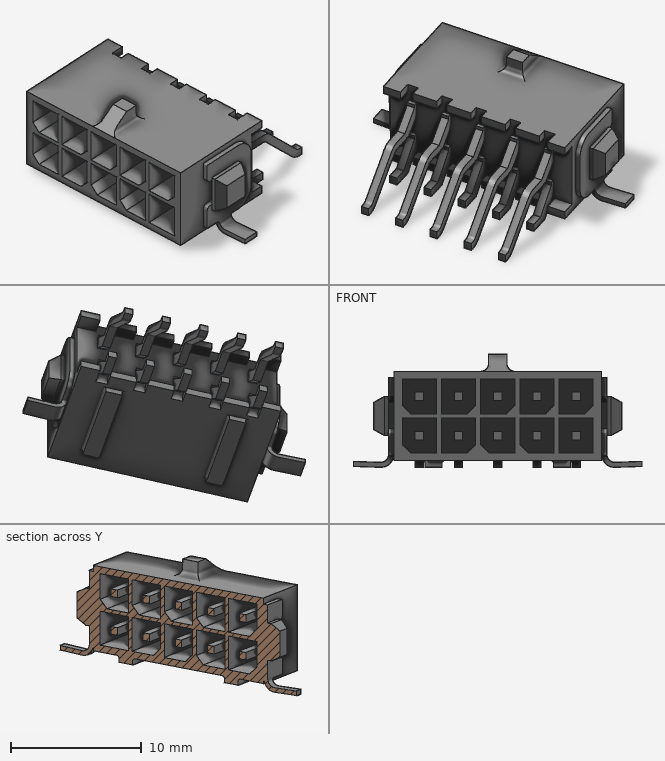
import cadquery as cq
import math


PITCH = 3.0
COLUMNS = 5

BODY_WIDTH = 15.92
BODY_BOTTOM = 0.52
BODY_HEIGHT = 6.84
BODY_TOP = BODY_BOTTOM + BODY_HEIGHT
BODY_MIDDLE = BODY_BOTTOM + BODY_HEIGHT / 2
BODY_DEPTH = 8.12
LIP_THICKNESS = 0.67
END_LIP_Y = 9.26
MIDDLE_LIP_Y = 8.92
NOTCH_WIDTH = 0.91

CAVITY_WIDTH = 2.61
CAVITY_HEIGHT = 2.66
CAVITY_DEPTH = 7.0
KEY_CHAMFER = 0.65
LEFT, RIGHT, SQUARE = -1, 1, 0
UPPER_KEYS = [LEFT, RIGHT, RIGHT, RIGHT, RIGHT]
LOWER_KEYS = [LEFT, RIGHT, LEFT, LEFT, SQUARE]
UPPER_Z = BODY_MIDDLE + PITCH / 2
LOWER_Z = BODY_MIDDLE - PITCH / 2

LATCH_WIDTH = 1.42
LATCH_TOP = 8.67
LATCH_BACK_Y = 2.93
LATCH_RAMP_Y = 1.85
LATCH_FILLET = 0.6

RAIL_WIDTH = 1.31
RAIL_X = 4.92
RAIL_FRONT_Y = 1.39
RAIL_BACK_Y = 7.81
RAIL_FILLET = 0.2

PIN_SIZE = 0.64
PIN_TIP_Y = 2.0
SHOULDER_RISE = 0.45
SHOULDER_Y = 8.45
SHOULDER_STEP = 0.28
TAIL_THICKNESS = 0.66
TAIL_END_Y = 15.63
BEND_INNER_RADIUS = 0.58
BEND_OUTER_RADIUS = BEND_INNER_RADIUS + TAIL_THICKNESS
KNEE_Y = 11.19
LEVEL_BOTTOM = 3.45
UPPER_BEND_Y = 9.36
LOWER_HEEL_Y = 9.48
LOWER_FOOT_Y = 10.13
LOWER_END_Y = 11.19
LOWER_SLOPE = 1.17

CLIP_THICKNESS = 0.4
CLIP_FRONT_Y = 2.58
CLIP_BACK_Y = 7.59
CLIP_BOTTOM = 0.91
CLIP_TOP = 6.88
CLIP_BACK_RADIUS = 1.47
CLIP_FRONT_RADIUS = 0.1
CLIP_SLOT_MOUTH_BOTTOM = 2.88
CLIP_SLOT_MOUTH_TOP = 5.36
CLIP_SLOT_END_BOTTOM = 2.98
CLIP_SLOT_END_TOP = 4.99
CLIP_SLOT_END_Y = 3.5
CLIP_SLOT_RADIUS = 0.33
CLIP_TAIL_WIDTH = 1.35
CLIP_NECK_FILLET = 0.18
CLIP_BEND_RADIUS = 1.0
CLIP_TAIL_TILT = math.radians(2)
CLIP_END_X = 11.055

BLOCK_SIZE = 3.0
BLOCK_Y = 4.61
BLOCK_SHOULDER_X = 8.67
BLOCK_END_X = 9.5
BLOCK_TAPER = 0.46

DIAGONAL = math.sqrt(0.5)


def box(x0, x1, y0, y1, z0, z1):
    return cq.Workplane("XY").box(x1 - x0, y1 - y0, z1 - z0, centered=False).translate((x0, y0, z0))


def column_positions():
    first = -PITCH * (COLUMNS - 1) / 2
    return [first + PITCH * i for i in range(COLUMNS)]


def make_cavity(x, z, key):
    half_width = CAVITY_WIDTH / 2
    half_height = CAVITY_HEIGHT / 2
    cavity = box(x - half_width, x + half_width, 0, CAVITY_DEPTH, z - half_height, z + half_height)
    if key == LEFT:
        cavity = cavity.edges("|Y and <Z and <X").chamfer(KEY_CHAMFER)
    elif key == RIGHT:
        cavity = cavity.edges("|Y and <Z and >X").chamfer(KEY_CHAMFER)
    return cavity


def make_housing():
    half_width = BODY_WIDTH / 2
    housing = box(-half_width, half_width, 0, BODY_DEPTH, BODY_BOTTOM, BODY_TOP)

    columns = column_positions()
    for z in (BODY_BOTTOM, BODY_TOP - LIP_THICKNESS):
        lip = box(-half_width, half_width, BODY_DEPTH, END_LIP_Y, z, z + LIP_THICKNESS)
        lip = lip.cut(box(columns[0], columns[-1], MIDDLE_LIP_Y, END_LIP_Y, z, z + LIP_THICKNESS))
        for x in columns:
            x0 = x - NOTCH_WIDTH / 2
            lip = lip.cut(box(x0, x0 + NOTCH_WIDTH, BODY_DEPTH, END_LIP_Y, z, z + LIP_THICKNESS))
        housing = housing.union(lip)

    for z, keys in ((UPPER_Z, UPPER_KEYS), (LOWER_Z, LOWER_KEYS)):
        for x, key in zip(columns, keys):
            housing = housing.cut(make_cavity(x, z, key))
    return housing


def make_latch():
    """Ramp with concave fillets on three sides, as the intersection of its two outlines."""
    half_width = LATCH_WIDTH / 2
    fillet_top = BODY_TOP + LATCH_FILLET
    across = (
        cq.Workplane("XZ")
        .moveTo(-half_width - LATCH_FILLET, BODY_TOP)
        .radiusArc((-half_width, fillet_top), -LATCH_FILLET)
        .lineTo(-half_width, LATCH_TOP)
        .lineTo(half_width, LATCH_TOP)
        .lineTo(half_width, fillet_top)
        .radiusArc((half_width + LATCH_FILLET, BODY_TOP), -LATCH_FILLET)
        .close()
        .extrude(-(LATCH_BACK_Y + LATCH_FILLET))
    )
    along = (
        cq.Workplane("YZ")
        .moveTo(0, BODY_TOP)
        .lineTo(LATCH_RAMP_Y, LATCH_TOP)
        .lineTo(LATCH_BACK_Y, LATCH_TOP)
        .lineTo(LATCH_BACK_Y, fillet_top)
        .radiusArc((LATCH_BACK_Y + LATCH_FILLET, BODY_TOP), -LATCH_FILLET)
        .close()
        .extrude(half_width + LATCH_FILLET, both=True)
    )
    return across.intersect(along)


def make_rail(x):
    """Rail with concave fillets where its long sides meet the underside of the housing."""
    half_width = RAIL_WIDTH / 2
    fillet_bottom = BODY_BOTTOM - RAIL_FILLET
    return (
        cq.Workplane("XZ", origin=(x, RAIL_FRONT_Y, 0))
        .moveTo(-half_width, 0)
        .lineTo(half_width, 0)
        .lineTo(half_width, fillet_bottom)
        .radiusArc((half_width + RAIL_FILLET, BODY_BOTTOM), RAIL_FILLET)
        .lineTo(-half_width - RAIL_FILLET, BODY_BOTTOM)
        .radiusArc((-half_width, fillet_bottom), RAIL_FILLET)
        .close()
        .extrude(-(RAIL_BACK_Y - RAIL_FRONT_Y))
    )


def start_contact(z):
    """Contact outline from the underside of the tip, over the top, to the rear shoulder."""
    shoulder_top = z + SHOULDER_RISE
    return (
        cq.Workplane("YZ")
        .moveTo(PIN_TIP_Y, z - PIN_SIZE / 2)
        .lineTo(PIN_TIP_Y, z + PIN_SIZE / 2)
        .lineTo(CAVITY_DEPTH, z + PIN_SIZE / 2)
        .lineTo(CAVITY_DEPTH, shoulder_top)
        .lineTo(SHOULDER_Y, shoulder_top)
        .lineTo(SHOULDER_Y, shoulder_top - SHOULDER_STEP)
    )


def make_upper_contact():
    """Contact that drops at 45 degrees, runs level to a knee and drops at 45 degrees to its foot."""
    pin_bottom = UPPER_Z - PIN_SIZE / 2
    level_top = LEVEL_BOTTOM + TAIL_THICKNESS
    knee_center_z = level_top - BEND_OUTER_RADIUS
    shoulder_base = UPPER_Z + SHOULDER_RISE - SHOULDER_STEP
    outer_offset = BEND_OUTER_RADIUS * DIAGONAL
    inner_offset = BEND_INNER_RADIUS * DIAGONAL
    foot_center_z = BEND_OUTER_RADIUS
    foot_y = KNEE_Y + knee_center_z + 2 * (outer_offset + inner_offset) - foot_center_z
    return (
        start_contact(UPPER_Z)
        .lineTo(SHOULDER_Y + shoulder_base - level_top, level_top)
        .lineTo(KNEE_Y, level_top)
        .radiusArc((KNEE_Y + outer_offset, knee_center_z + outer_offset), BEND_OUTER_RADIUS)
        .lineTo(foot_y - inner_offset, foot_center_z - inner_offset)
        .radiusArc((foot_y, TAIL_THICKNESS), -BEND_INNER_RADIUS)
        .lineTo(TAIL_END_Y, TAIL_THICKNESS)
        .lineTo(TAIL_END_Y, 0)
        .lineTo(foot_y, 0)
        .radiusArc((foot_y - outer_offset, foot_center_z - outer_offset), BEND_OUTER_RADIUS)
        .lineTo(KNEE_Y + inner_offset, knee_center_z + inner_offset)
        .radiusArc((KNEE_Y, LEVEL_BOTTOM), -BEND_INNER_RADIUS)
        .lineTo(UPPER_BEND_Y, LEVEL_BOTTOM)
        .lineTo(UPPER_BEND_Y + LEVEL_BOTTOM - pin_bottom, pin_bottom)
        .close()
        .extrude(PIN_SIZE / 2, both=True)
    )


def make_lower_contact():
    """Contact that drops straight to its foot."""
    pin_bottom = LOWER_Z - PIN_SIZE / 2
    return (
        start_contact(LOWER_Z)
        .lineTo(LOWER_FOOT_Y, TAIL_THICKNESS)
        .lineTo(LOWER_END_Y, TAIL_THICKNESS)
        .lineTo(LOWER_END_Y, 0)
        .lineTo(LOWER_HEEL_Y, 0)
        .lineTo(LOWER_HEEL_Y - pin_bottom / LOWER_SLOPE, pin_bottom)
        .close()
        .extrude(PIN_SIZE / 2, both=True)
    )


def make_clip_strip():
    """Bent strip on the +X end: upright against the housing, then turned outward into a foot."""
    inner_x = BODY_WIDTH / 2
    outer_x = inner_x + CLIP_THICKNESS
    bend_x = inner_x + CLIP_BEND_RADIUS
    bend_z = CLIP_BEND_RADIUS
    inner_radius = CLIP_BEND_RADIUS - CLIP_THICKNESS

    def bend_point(radius, angle):
        return (bend_x - radius * math.cos(angle), bend_z - radius * math.sin(angle))

    full_turn = math.pi / 2 + CLIP_TAIL_TILT
    lower_start = bend_point(CLIP_BEND_RADIUS, full_turn)
    upper_start = bend_point(inner_radius, full_turn)
    slope = math.tan(CLIP_TAIL_TILT)
    lower_end_z = lower_start[1] + (CLIP_END_X - lower_start[0]) * slope
    upper_end_z = upper_start[1] + (CLIP_END_X - upper_start[0]) * slope
    return (
        cq.Workplane("XZ", origin=(0, CLIP_FRONT_Y, 0))
        .moveTo(inner_x, CLIP_TOP)
        .lineTo(inner_x, bend_z)
        .threePointArc(bend_point(CLIP_BEND_RADIUS, full_turn / 2), lower_start)
        .lineTo(CLIP_END_X, lower_end_z)
        .lineTo(CLIP_END_X, upper_end_z)
        .lineTo(*upper_start)
        .threePointArc(bend_point(inner_radius, full_turn / 2), (outer_x, bend_z))
        .lineTo(outer_x, CLIP_TOP)
        .close()
        .extrude(-(CLIP_BACK_Y - CLIP_FRONT_Y))
    )


def make_clip():
    """Bent strip on the +X end, trimmed to a C-shaped plate with a narrow tail."""
    x0 = BODY_WIDTH / 2
    x1 = CLIP_END_X
    outline = box(x0, x1, CLIP_FRONT_Y, CLIP_BACK_Y, CLIP_BOTTOM, CLIP_TOP)
    outline = outline.edges("|X and >Y").fillet(CLIP_BACK_RADIUS)
    outline = outline.edges("|X and <Y").fillet(CLIP_FRONT_RADIUS)

    slot = (
        cq.Workplane("YZ", origin=(x0, 0, 0))
        .moveTo(CLIP_FRONT_Y, CLIP_SLOT_MOUTH_BOTTOM)
        .lineTo(CLIP_FRONT_Y, CLIP_SLOT_MOUTH_TOP)
        .lineTo(CLIP_SLOT_END_Y, CLIP_SLOT_END_TOP)
        .lineTo(CLIP_SLOT_END_Y, CLIP_SLOT_END_BOTTOM)
        .close()
        .extrude(x1 - x0)
    )
    slot_mouths = cq.selectors.BoxSelector(
        (x0, CLIP_FRONT_Y - CLIP_FRONT_RADIUS, CLIP_SLOT_MOUTH_BOTTOM - CLIP_FRONT_RADIUS),
        (x1, CLIP_FRONT_Y + CLIP_FRONT_RADIUS, CLIP_SLOT_MOUTH_TOP + CLIP_FRONT_RADIUS),
    )
    outline = outline.cut(slot).edges("|X").edges(slot_mouths).fillet(CLIP_SLOT_RADIUS)

    half_width = CLIP_TAIL_WIDTH / 2
    neck = (
        cq.Workplane("YZ", origin=(x0, BLOCK_Y, 0))
        .moveTo(-half_width, 0)
        .lineTo(half_width, 0)
        .lineTo(half_width, CLIP_BOTTOM - CLIP_NECK_FILLET)
        .radiusArc((half_width + CLIP_NECK_FILLET, CLIP_BOTTOM), CLIP_NECK_FILLET)
        .lineTo(-half_width - CLIP_NECK_FILLET, CLIP_BOTTOM)
        .radiusArc((-half_width, CLIP_BOTTOM - CLIP_NECK_FILLET), CLIP_NECK_FILLET)
        .close()
        .extrude(x1 - x0)
    )
    return make_clip_strip().intersect(outline.union(neck))


def make_block():
    """Square block on the +X end, tapered on all four sides toward its outer face."""
    base_x = BODY_WIDTH / 2 + CLIP_THICKNESS
    half = BLOCK_SIZE / 2
    straight = box(
        base_x, BLOCK_SHOULDER_X, BLOCK_Y - half, BLOCK_Y + half, BODY_MIDDLE - half, BODY_MIDDLE + half
    )
    end_size = BLOCK_SIZE - 2 * BLOCK_TAPER
    taper = (
        cq.Workplane("YZ", origin=(BLOCK_SHOULDER_X, BLOCK_Y, BODY_MIDDLE))
        .rect(BLOCK_SIZE, BLOCK_SIZE)
        .workplane(offset=BLOCK_END_X - BLOCK_SHOULDER_X)
        .rect(end_size, end_size)
        .loft(ruled=True)
    )
    return straight.union(taper)


result = make_housing().union(make_latch())

for rail_x in (-RAIL_X, RAIL_X):
    result = result.union(make_rail(rail_x))

for contact in (make_upper_contact(), make_lower_contact()):
    for column_x in column_positions():
        result = result.union(contact.translate((column_x, 0, 0)))

end_fitting = make_clip().union(make_block())
result = result.union(end_fitting).union(end_fitting.mirror("YZ"))